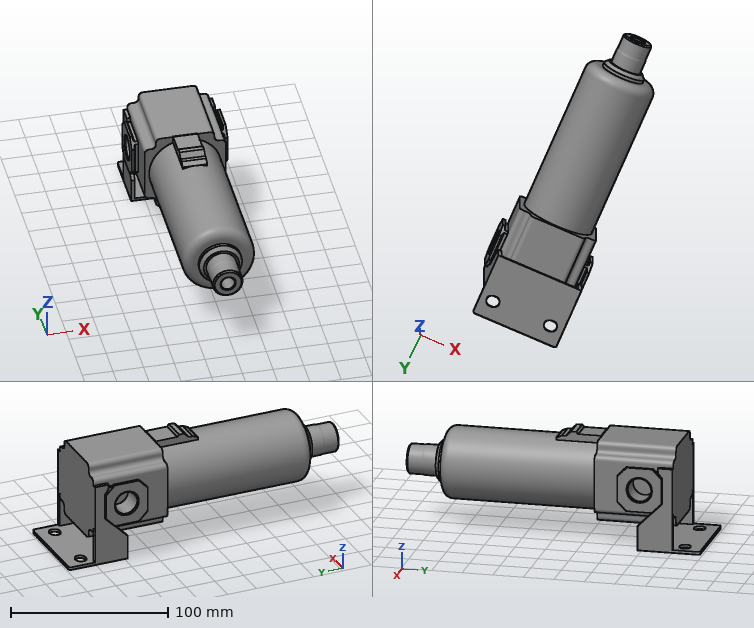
import cadquery as cq


head_width = 53.0
head_length = 51.7
corner_step = 7.4
corner_radius = 3.0

bowl_radius = 23.5
bowl_edge_radius = 6.0
collar_radius = 14.0
collar_chamfer = 2.5
collar_length = 4.7
stem_radius = 10.0
stem_tip_radius = 9.7
stem_length = 19.7
stem_cone_start = 11.4
stem_cone_end = 9.8
stem_tip_chamfer = 1.0
drain_hole_radius = 4.5
drain_hole_chamfer = 0.5
drain_hole_depth = 15.0

port_distance = 21.15
port_span = 62.5
flange_size = 29.0
flange_chamfer = 6.0
flange_thickness = 1.8
neck_size = 24.4
neck_flare = 0.8
port_bore_radius = 7.6
port_bore_chamfer = 0.8
port_bore_depth = 15.0

bracket_width = 57.8
sheet_thickness = 2.0
bracket_bottom = -41.0
bracket_top = 14.7
bracket_depth = 23.0
bracket_arm_depth = 9.5
bracket_slope_bottom = -24.9
tongue_length = 17.9
tongue_corner_radius = 1.5
slot_length = 8.5
slot_width = 7.0
slot_spacing = 40.0
slot_distance = 6.1

latch_width = 16.0
latch_top = 28.42
latch_base_top = 27.0
latch_step_top = 25.3
latch_end_step = 0.1
latch_rise_start = 15.0
latch_rise_end = 16.3
latch_crest_end = 19.8
latch_step_start = 23.0
latch_step_end = 25.7
latch_length = 29.5

total_length = 197.0
tip_y = tongue_length - total_length
collar_front_y = tip_y + stem_length
bowl_front_y = collar_front_y + collar_length


def make_head():
    notch_size = 2 * corner_step
    block = cq.Workplane("XZ").rect(head_width, head_width).extrude(head_length)
    notches = (
        cq.Workplane("XZ")
        .rect(head_width, head_width, forConstruction=True)
        .vertices()
        .rect(notch_size, notch_size)
        .extrude(head_length)
    )
    return block.cut(notches).edges("|Y").fillet(corner_radius)


def make_bowl():
    outline = (
        cq.Workplane("XY")
        .moveTo(0, -head_length)
        .lineTo(bowl_radius, -head_length)
        .lineTo(bowl_radius, bowl_front_y + bowl_edge_radius)
        .radiusArc((bowl_radius - bowl_edge_radius, bowl_front_y), bowl_edge_radius)
        .lineTo(collar_radius, bowl_front_y)
        .lineTo(collar_radius, collar_front_y + collar_chamfer)
        .lineTo(collar_radius - collar_chamfer, collar_front_y)
        .lineTo(stem_radius, collar_front_y)
        .lineTo(stem_radius, tip_y + stem_cone_start)
        .lineTo(stem_tip_radius, tip_y + stem_cone_end)
        .lineTo(stem_tip_radius, tip_y + stem_tip_chamfer)
        .lineTo(stem_tip_radius - stem_tip_chamfer, tip_y)
        .lineTo(0, tip_y)
        .close()
    )
    return outline.revolve(360, (0, 0, 0), (0, 1, 0))


def make_latch():
    front = -head_length
    profile = [
        (front, 0),
        (front, latch_base_top),
        (front - latch_rise_start, latch_base_top),
        (front - latch_rise_end, latch_top),
        (front - latch_crest_end, latch_top),
        (front - latch_step_start, latch_step_top),
        (front - latch_step_end, latch_step_top),
        (front - latch_length, bowl_radius + latch_end_step),
        (front - latch_length, 0),
    ]
    return cq.Workplane("YZ").polyline(profile).close().extrude(latch_width / 2, both=True)


def port_plane(x):
    """Plane facing +X, centred on the port axis."""
    return cq.Workplane("YZ", origin=(x, -port_distance, 0))


def flange_octagon(x, length):
    return (
        port_plane(x)
        .rect(flange_size, flange_size)
        .extrude(length)
        .edges("|X")
        .chamfer(flange_chamfer)
    )


def make_port():
    """Port on the +X side, without its bore; the flange octagon also trims the neck corners."""
    port_face_x = port_span / 2
    flange_x = port_face_x - flange_thickness
    flare_x = flange_x - neck_flare
    neck = port_plane(0).rect(neck_size, neck_size).extrude(flange_x)
    flare = port_plane(flare_x).rect(neck_size, neck_size).extrude(neck_flare, taper=-45)
    trimmed_neck = neck.union(flare).intersect(flange_octagon(0, port_face_x))
    return trimmed_neck.union(flange_octagon(flange_x, flange_thickness))


def make_bore(plane, radius, depth, chamfer):
    """Blind hole with a chamfered mouth, cut along the normal of the plane."""
    hole = plane.circle(radius).extrude(depth)
    mouth = plane.circle(radius + chamfer).extrude(chamfer, taper=45)
    return hole.union(mouth)


def make_bracket():
    slope_top = bracket_slope_bottom + bracket_depth - bracket_arm_depth
    side_profile = [
        (0, bracket_top),
        (-bracket_arm_depth, bracket_top),
        (-bracket_arm_depth, slope_top),
        (-bracket_depth, bracket_slope_bottom),
        (-bracket_depth, bracket_bottom),
        (0, bracket_bottom),
    ]
    sides = cq.Workplane("YZ").polyline(side_profile).close().extrude(bracket_width / 2, both=True)
    gap_height = bracket_top - bracket_bottom - sheet_thickness
    gap = cq.Workplane("XY", origin=(0, 0, bracket_bottom + sheet_thickness)).box(
        head_width, 2 * bracket_depth, gap_height, centered=(True, True, False)
    )
    tongue = (
        cq.Workplane("XY", origin=(0, 0, bracket_bottom))
        .box(bracket_width, tongue_length, sheet_thickness, centered=(True, False, False))
        .edges("|Z and >Y")
        .fillet(tongue_corner_radius)
    )
    slots = (
        cq.Workplane("XY", origin=(0, slot_distance, bracket_bottom))
        .pushPoints([(-slot_spacing / 2, 0), (slot_spacing / 2, 0)])
        .slot2D(slot_length, slot_width)
        .extrude(sheet_thickness)
    )
    return sides.cut(gap).union(tongue.cut(slots))


port = make_port()
port_bore = make_bore(
    cq.Workplane("ZY", origin=(port_span / 2, -port_distance, 0)),
    port_bore_radius,
    port_bore_depth,
    port_bore_chamfer,
)
drain_hole = make_bore(
    cq.Workplane("ZX", origin=(0, tip_y, 0)),
    drain_hole_radius,
    drain_hole_depth,
    drain_hole_chamfer,
)

result = make_head().union(make_bowl()).union(make_latch()).union(make_bracket())
result = result.union(port).union(port.mirror("YZ"))
result = result.cut(port_bore).cut(port_bore.mirror("YZ")).cut(drain_hole)